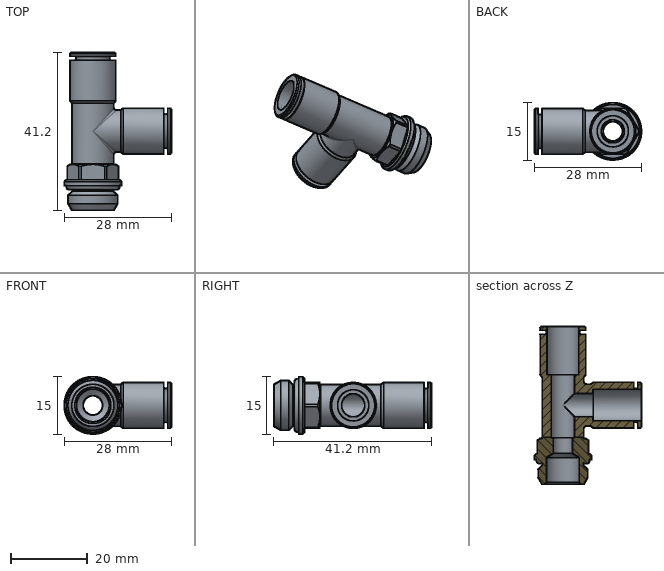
import cadquery as cq
import math


arm_reach = 20.5
tee_radius = 11.0 / 2
sleeve_radius = 12.0 / 2
neck_radius = 8.9 / 2
neck_fillet = 0.25
collar_thickness = 1.05
collar_chamfer = 0.37
neck_length = 1.0
sleeve_edge_chamfer = 0.1
sleeve_end = 12.6
sleeve_cone_length = 0.55
sleeve_cone_radius = 11.2 / 2
sleeve_blend_end = 13.25
crotch_fillet = 0.6

tube_radius = 8.15 / 2
flow_radius = 6.0 / 2

stud_end = 20.7
thread_tip_radius = 11.0 / 2
thread_radius = 13.0 / 2
thread_start = 1.77
thread_end = 3.9
undercut_radius = 10.8 / 2
undercut_start = 5.0
seal_start = 5.3
seal_radius = 14.0 / 2
seal_section_radius = 0.95
flange_start = 6.45
flange_radius = 15.0 / 2
flange_chamfer = 0.5
hex_start = 8.0
hex_end = 12.0
stud_length = 12.2
hex_across_flats = 12.0
hex_corner_radius = 13.47 / 2
hex_chamfer_height = 0.5
stud_bore_radius = 5.0 / 2
socket_radius = 8.5 / 2
socket_depth = 7.0
socket_mouth_radius = 9.45 / 2
socket_mouth_depth = 0.5
drill_half_angle = 59

joint_y = stud_length - stud_end


def cylinder_along_y(radius, y_start, y_end):
    """Solid cylinder on the Y axis between two heights."""
    return cq.Workplane("XZ", origin=(0, y_start, 0)).circle(radius).extrude(y_start - y_end)


def revolve_about_y(sketch):
    """Full turn of an XY profile about the Y axis."""
    return sketch.close().revolve(360, (0, 0, 0), (0, 1, 0))


def to_branch(body):
    """Turn a body from the +Y arm to the +X branch."""
    return body.rotate((0, 0, 0), (0, 0, 1), -90)


def make_arm_end():
    """Sleeve, neck and release collar of the +Y arm."""
    collar_base = arm_reach - collar_thickness
    sleeve_top = collar_base - neck_length
    sleeve_base = arm_reach - sleeve_end
    blend_base = arm_reach - sleeve_blend_end
    neck_end_radius = neck_radius + neck_fillet
    profile = (
        cq.Workplane("XY")
        .moveTo(0, blend_base)
        .lineTo(tee_radius, blend_base)
        .lineTo(sleeve_cone_radius, sleeve_base - sleeve_cone_length)
        .lineTo(sleeve_radius, sleeve_base)
        .lineTo(sleeve_radius, sleeve_top - sleeve_edge_chamfer)
        .lineTo(sleeve_radius - sleeve_edge_chamfer, sleeve_top)
        .lineTo(neck_end_radius, sleeve_top)
        .radiusArc((neck_radius, sleeve_top + neck_fillet), neck_fillet)
        .lineTo(neck_radius, collar_base - neck_fillet)
        .radiusArc((neck_end_radius, collar_base), neck_fillet)
        .lineTo(sleeve_radius, collar_base)
        .lineTo(sleeve_radius, arm_reach - collar_chamfer)
        .lineTo(sleeve_radius - collar_chamfer, arm_reach)
        .lineTo(0, arm_reach)
    )
    return revolve_about_y(profile)


def make_tee():
    """Housing with two tube sockets and an open flow bore down to the stud."""
    blend_base = arm_reach - sleeve_blend_end
    run = cylinder_along_y(tee_radius, joint_y, blend_base)
    branch = to_branch(cylinder_along_y(tee_radius, 0, blend_base))
    box_reach = 1.1 * tee_radius
    box_start = 0.01 * tee_radius
    mitre_curves = cq.selectors.BoxSelector(
        (box_start, -box_reach, -box_reach), (box_reach, box_reach, box_reach)
    )
    tee = run.union(branch).edges(mitre_curves).fillet(crotch_fillet)
    arm_end = make_arm_end()
    tee = tee.union(arm_end).union(to_branch(arm_end))

    tube_socket = cylinder_along_y(tube_radius, arm_reach - sleeve_end, arm_reach)
    run_bore = cylinder_along_y(flow_radius, joint_y, arm_reach)
    branch_bore = to_branch(cylinder_along_y(flow_radius, 0, arm_reach))
    for bore in (tube_socket, to_branch(tube_socket), run_bore, branch_bore):
        tee = tee.cut(bore)
    return tee


def make_stud_turning():
    """Turned outside of the stud with its round sealing bead, without its hexagon."""
    seal_center_radius = seal_radius - seal_section_radius
    seal_center_height = seal_start + seal_section_radius
    inner_offset = seal_center_radius - undercut_radius
    seal_inner_height = seal_center_height - math.sqrt(seal_section_radius**2 - inner_offset**2)
    flange_offset = flange_start - seal_center_height
    seal_flange_radius = seal_center_radius + math.sqrt(seal_section_radius**2 - flange_offset**2)
    profile = (
        cq.Workplane("XY", origin=(0, -stud_end, 0))
        .lineTo(thread_tip_radius, 0)
        .lineTo(thread_radius, thread_start)
        .lineTo(thread_radius, thread_end)
        .lineTo(undercut_radius, undercut_start)
        .lineTo(undercut_radius, seal_inner_height)
        .threePointArc((seal_center_radius, seal_start), (seal_flange_radius, flange_start))
        .lineTo(flange_radius, flange_start)
        .lineTo(flange_radius, hex_start - flange_chamfer)
        .lineTo(flange_radius - flange_chamfer, hex_start)
        .lineTo(undercut_radius, hex_start)
        .lineTo(undercut_radius, stud_length)
        .lineTo(0, stud_length)
    )
    return revolve_about_y(profile)


def make_hexagon():
    """Wrench hexagon with corners turned down and chamfered towards the tee."""
    corner_diameter = hex_across_flats / math.cos(math.pi / 6)
    prism = (
        cq.Workplane("XZ", origin=(0, hex_start - stud_end, 0))
        .polygon(6, corner_diameter)
        .extrude(hex_start - hex_end)
    )
    envelope = (
        cq.Workplane("XY", origin=(0, -stud_end, 0))
        .moveTo(0, hex_start)
        .lineTo(hex_corner_radius, hex_start)
        .lineTo(hex_corner_radius, hex_end - hex_chamfer_height)
        .lineTo(hex_across_flats / 2, hex_end)
        .lineTo(0, hex_end)
    )
    return prism.intersect(revolve_about_y(envelope))


def make_stud_bore():
    """Chamfered socket with a conical bottom, then the narrow through bore."""
    cone_length = (socket_radius - stud_bore_radius) / math.tan(math.radians(drill_half_angle))
    profile = (
        cq.Workplane("XY", origin=(0, -stud_end, 0))
        .lineTo(socket_mouth_radius, 0)
        .lineTo(socket_radius, socket_mouth_depth)
        .lineTo(socket_radius, socket_depth)
        .lineTo(stud_bore_radius, socket_depth + cone_length)
        .lineTo(stud_bore_radius, stud_length)
        .lineTo(0, stud_length)
    )
    return revolve_about_y(profile)


def make_stud():
    """Threaded stud whose short collar butts against the lower end of the tee."""
    return make_stud_turning().union(make_hexagon()).cut(make_stud_bore())


tee = make_tee()
stud = make_stud()

result = cq.Compound.makeCompound([tee.val(), stud.val()])